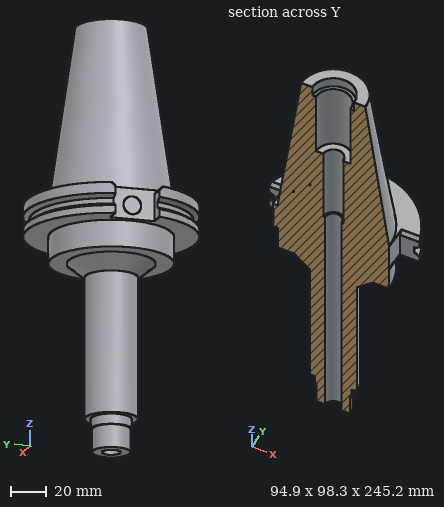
import cadquery as cq

total_height = 245.2
nose_step_z = 13.2
shank_bottom_z = 19.1
cone_bottom_z = 101.0
collar_bottom_z = 109.0
flange_bottom_z = 124.5
flange_top_z = 142.5
taper_base_z = 144.0

nose_radius = 10.8
nose_step_radius = 11.5
shank_radius = 15.0
cone_top_radius = 24.8
collar_radius = 35.0
flange_diameter = 98.3
flange_radius = flange_diameter / 2
taper_ratio = 7 / 24
taper_top_radius = collar_radius - (total_height - taper_base_z) * taper_ratio / 2

groove_lower_z = 129.0
groove_upper_z = 136.0
groove_floor_radius = 45.9
groove_side_rise = 2.0

slot_width = 25.7
slot_floor_left = -38.0
slot_floor_right = 35.0
slot_chamfer = 2.2

side_recess_radius = 5.1
side_recess_z = 132.7
side_recess_depth = 0.2

counterbore_radius = 13.0
counterbore_depth = 6.4
bore_radius = 10.8
bore_depth = 49.0
step_bore_radius = 6.1
step_bore_depth = 98.0
through_radius = 5.1


def make_body():
    """Revolve the outer outline about Z."""
    outline = [
        (0, 0),
        (nose_radius, 0),
        (nose_radius, nose_step_z),
        (nose_step_radius, nose_step_z),
        (nose_step_radius, shank_bottom_z),
        (shank_radius, shank_bottom_z),
        (shank_radius, cone_bottom_z),
        (cone_top_radius, collar_bottom_z),
        (collar_radius, collar_bottom_z),
        (collar_radius, flange_bottom_z),
        (flange_radius, flange_bottom_z),
        (flange_radius, groove_lower_z),
        (groove_floor_radius, groove_lower_z + groove_side_rise),
        (groove_floor_radius, groove_upper_z - groove_side_rise),
        (flange_radius, groove_upper_z),
        (flange_radius, flange_top_z),
        (collar_radius, flange_top_z),
        (collar_radius, taper_base_z),
        (taper_top_radius, total_height),
        (0, total_height),
    ]
    return cq.Workplane("XZ").polyline(outline).close().revolve(360, (0, 0), (0, 1))


def make_slot(floor_x):
    """Cutter running outward from floor_x, with chamfered upper side edges."""
    half_width = slot_width / 2
    mouth_half_width = half_width + slot_chamfer
    section = [
        (-half_width, flange_bottom_z),
        (half_width, flange_bottom_z),
        (half_width, flange_top_z - slot_chamfer),
        (mouth_half_width, flange_top_z),
        (-mouth_half_width, flange_top_z),
        (-half_width, flange_top_z - slot_chamfer),
    ]
    outward = flange_radius if floor_x > 0 else -flange_radius
    plane = cq.Workplane("YZ", origin=(floor_x, 0, 0))
    return plane.polyline(section).close().extrude(outward)


def make_side_recess():
    """Cutter for the shallow round recess in the left slot floor."""
    plane = cq.Workplane("YZ", origin=(slot_floor_left, 0, side_recess_z))
    return plane.circle(side_recess_radius).extrude(side_recess_depth)


def make_bore(radius, depth):
    """Round cutter going down from the small end of the taper."""
    return cq.Workplane("XY", origin=(0, 0, total_height)).circle(radius).extrude(-depth)


result = make_body()
for slot_floor in (slot_floor_left, slot_floor_right):
    result = result.cut(make_slot(slot_floor))
result = result.cut(make_side_recess())

bore_steps = [
    (counterbore_radius, counterbore_depth),
    (bore_radius, bore_depth),
    (step_bore_radius, step_bore_depth),
    (through_radius, total_height),
]
for step_radius, step_depth in bore_steps:
    result = result.cut(make_bore(step_radius, step_depth))